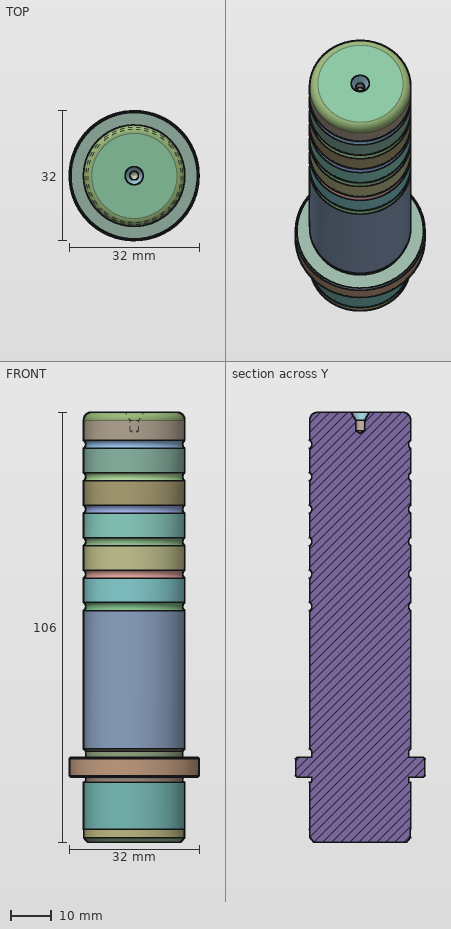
import cadquery as cq
import math

length = 106.0
shaft_radius = 12.5
neck_radius = 12.0
neck_depth = shaft_radius - neck_radius

foot_chamfer_height = 1.2
foot_chamfer_inset = 1.0
foot_lead_height = 3.2
foot_lead_relief = 0.05
foot_neck_width = 1.2
foot_neck_root_radius = 0.3

flange_radius = 16.0
flange_bottom = 16.0
flange_thickness = 5.0
flange_chamfer = 0.4
flange_top = flange_bottom + flange_thickness

upper_neck_width = 2.0

groove_count = 6
groove_span = 40.0
groove_pitch = groove_span / (groove_count - 1)
groove_width = 2.0
groove_depth = 0.5
first_groove_drop = 8.0

top_fillet = 2.0
centre_mouth_radius = 2.2
centre_drill_radius = 1.1
centre_cone_angle = 60.0
centre_drill_length = 2.5
drill_point_angle = 120.0


def cone_height(large_radius, small_radius, included_angle):
    return (large_radius - small_radius) / math.tan(math.radians(included_angle / 2))


def revolve_about_axis(profile):
    return profile.close().revolve(360, (0, 0, 0), (0, 1, 0))


def make_pillar():
    lead_radius = shaft_radius - foot_lead_relief
    foot_neck_bottom = flange_bottom - foot_neck_width
    root_end_radius = neck_radius + foot_neck_root_radius
    upper_neck_top = flange_top + upper_neck_width
    rim_radius = flange_radius - flange_chamfer
    profile = (
        cq.Workplane("XZ")
        .moveTo(0, 0)
        .lineTo(lead_radius - foot_chamfer_inset, 0)
        .lineTo(lead_radius, foot_chamfer_height)
        .lineTo(lead_radius, foot_lead_height)
        .lineTo(shaft_radius, foot_lead_height)
        .lineTo(shaft_radius, foot_neck_bottom)
        .lineTo(root_end_radius, foot_neck_bottom)
        .radiusArc((neck_radius, foot_neck_bottom + foot_neck_root_radius), foot_neck_root_radius)
        .lineTo(neck_radius, flange_bottom - foot_neck_root_radius)
        .radiusArc((root_end_radius, flange_bottom), foot_neck_root_radius)
        .lineTo(rim_radius, flange_bottom)
        .lineTo(flange_radius, flange_bottom + flange_chamfer)
        .lineTo(flange_radius, flange_top - flange_chamfer)
        .lineTo(rim_radius, flange_top)
        .lineTo(neck_radius, flange_top)
        .lineTo(neck_radius, upper_neck_top - neck_depth)
        .lineTo(shaft_radius, upper_neck_top)
        .lineTo(shaft_radius, length)
        .lineTo(0, length)
    )
    return revolve_about_axis(profile).faces(">Z").edges().fillet(top_fillet)


def make_groove_ring(centre_z):
    half_width = groove_width / 2
    outside = shaft_radius + groove_depth
    profile = (
        cq.Workplane("XZ")
        .moveTo(outside, centre_z - half_width)
        .lineTo(shaft_radius, centre_z - half_width)
        .threePointArc((shaft_radius - groove_depth, centre_z), (shaft_radius, centre_z + half_width))
        .lineTo(outside, centre_z + half_width)
    )
    return revolve_about_axis(profile)


def make_centre_hole():
    drill_top = length - cone_height(centre_mouth_radius, centre_drill_radius, centre_cone_angle)
    drill_bottom = drill_top - centre_drill_length
    point_depth = cone_height(centre_drill_radius, 0, drill_point_angle)
    profile = (
        cq.Workplane("XZ")
        .moveTo(0, length)
        .lineTo(centre_mouth_radius, length)
        .lineTo(centre_drill_radius, drill_top)
        .lineTo(centre_drill_radius, drill_bottom)
        .lineTo(0, drill_bottom - point_depth)
    )
    return revolve_about_axis(profile)


result = make_pillar()
for index in range(groove_count):
    result = result.cut(make_groove_ring(length - first_groove_drop - index * groove_pitch))
result = result.cut(make_centre_hole())